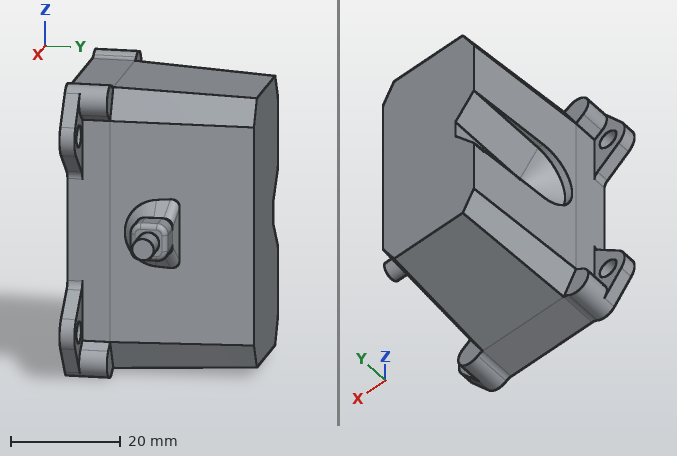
import cadquery as cq
import math

total_height = 55.0
total_depth = 34.45
flange_depth = 8.0
tab_depth = 2.8

base_half_width = 12.75
base_half_height = 26.5
base_top_half_width = 9.8
base_side_half_height = 20.85
end_half_width = 11.0
end_half_height = 25.4
end_top_half_width = 8.3
end_side_half_height = 20.55

hole_x = 16.0
hole_z = 18.5
hole_diameter = 4.0
tab_radius = 4.0
ear_radius = 2.95
ear_x = base_half_width
ear_z = total_height / 2 - ear_radius
blend_radius = 2.0

port_y = 16.5
pocket_width = 15.0
pocket_floor_width = 4.0
pocket_depth = 4.45

nut_start_x = 14.5
nut_end_x = 19.5
nut_width = 7.0
nut_corner_radius = 2.0
nut_end_fillet = 1.0
cable_end_x = 24.5
cable_diameter = 4.0
boss_start_x = 9.35
boss_side_slope = 1.2
boss_top_slope = 0.3
boss_corner_radius = 1.65


def polar(center, radius, angle):
    """Point on a circle, angle in radians from +X toward +Z."""
    return (center[0] + radius * math.cos(angle), center[1] + radius * math.sin(angle))


def add_arc(path, center, radius, start, end):
    """Continue a path along a circle; its end point is already at the start angle."""
    middle = polar(center, radius, (start + end) / 2)
    return path.threePointArc(middle, polar(center, radius, end))


def add_line_and_arc(path, center, radius, start, end):
    """Run a straight line to the start angle of a circle, then follow the circle."""
    return add_arc(path.lineTo(*polar(center, radius, start)), center, radius, start, end)


def direction(a, b):
    return math.atan2(b[1] - a[1], b[0] - a[0])


def section(y):
    """Sketch plane parallel to XZ at depth y, with local axes along +X and +Z."""
    return cq.Workplane(cq.Plane(origin=(0, y, 0), xDir=(1, 0, 0), normal=(0, -1, 0)))


def mirror_to_corners(quarter):
    half = quarter.union(quarter.mirror("YZ"))
    return half.union(half.mirror("XY"))


hole_center = (hole_x, hole_z)
ear_center = (ear_x, ear_z)

top_blend_z = base_half_height + blend_radius
top_blend_x = ear_x - math.sqrt((ear_radius + blend_radius) ** 2 - (top_blend_z - ear_z) ** 2)
top_blend_center = (top_blend_x, top_blend_z)
top_blend_angle = direction(ear_center, top_blend_center)

outer_edge_angle = direction(hole_center, ear_center) - math.acos(
    (tab_radius - ear_radius) / math.dist(hole_center, ear_center)
)

side_blend_z = 9.6
side_blend_center = (base_half_width + blend_radius, side_blend_z)
lower_edge_angle = direction(hole_center, side_blend_center) + math.acos(
    (tab_radius + blend_radius) / math.dist(hole_center, side_blend_center)
)


def outline_over_ear(ear_end_angle):
    """Quarter outline from the centre over the top blend and around the ear."""
    path = section(0).lineTo(0, base_half_height)
    path = add_line_and_arc(
        path, top_blend_center, blend_radius, -math.pi / 2, top_blend_angle - math.pi
    )
    return add_arc(path, ear_center, ear_radius, top_blend_angle, ear_end_angle)


def make_tab_plate():
    path = outline_over_ear(outer_edge_angle)
    path = add_line_and_arc(path, hole_center, tab_radius, outer_edge_angle, lower_edge_angle)
    path = add_line_and_arc(path, side_blend_center, blend_radius, lower_edge_angle + math.pi, math.pi)
    path = path.lineTo(base_half_width, 0).close()
    plate = path.extrude(-tab_depth)
    hole = section(0).center(*hole_center).circle(hole_diameter / 2).extrude(-tab_depth)
    return mirror_to_corners(plate.cut(hole))


def make_flange():
    """Full-depth flange: the housing section plus the four ears."""
    side_corner = (base_half_width, base_side_half_height)
    inner_edge_angle = direction(ear_center, side_corner) + math.acos(
        ear_radius / math.dist(ear_center, side_corner)
    )
    path = outline_over_ear(inner_edge_angle)
    path = path.lineTo(*side_corner).lineTo(base_half_width, 0).close()
    return mirror_to_corners(path.extrude(-flange_depth))


def octagon(half_width, half_height, top_half_width, side_half_height):
    corners = [(top_half_width, half_height), (half_width, side_half_height)]
    right = corners + [(x, -z) for x, z in reversed(corners)]
    return right + [(-x, z) for x, z in reversed(right)]


def make_housing():
    base = octagon(base_half_width, base_half_height, base_top_half_width, base_side_half_height)
    end = octagon(end_half_width, end_half_height, end_top_half_width, end_side_half_height)
    return (
        section(flange_depth).polyline(base).close()
        .workplane(offset=flange_depth - total_depth).polyline(end).close()
        .loft(ruled=True, combine=True)
    )


def make_pocket():
    """U-shaped pocket with tapered walls, open at the far end."""
    def u_slot(x, width):
        plane = cq.Plane(origin=(x, port_y, 0), xDir=(0, 1, 0), normal=(1, 0, 0))
        half = width / 2
        run = total_depth - port_y
        return (
            cq.Workplane(plane).moveTo(run, -half).lineTo(0, -half)
            .threePointArc((-half, 0), (0, half)).lineTo(run, half).close()
        )

    rim_x = -end_half_width
    floor_x = rim_x + pocket_depth
    mouth = u_slot(rim_x, pocket_width).extrude(end_half_width - base_half_width)
    rim = u_slot(rim_x, pocket_width).wires().val()
    floor = u_slot(floor_x, pocket_floor_width).wires().val()
    taper = cq.Workplane(cq.Solid.makeLoft([rim, floor], True))
    return mouth.union(taper)


def make_boss():
    """Tapered foot of the cable outlet: round below, squared off above."""
    def outline(x):
        growth = nut_start_x - x
        half = nut_width / 2 + boss_side_slope * growth
        top = nut_width / 2 + boss_top_slope * growth
        r = boss_corner_radius
        plane = cq.Plane(origin=(x, port_y, 0), xDir=(0, 1, 0), normal=(1, 0, 0))
        path = cq.Workplane(plane).moveTo(0, half).threePointArc((-half, 0), (0, -half))
        path = add_line_and_arc(path, (top - r, r - half), r, -math.pi / 2, 0)
        path = add_line_and_arc(path, (top - r, half - r), r, 0, math.pi / 2)
        return path.close().wires().val()

    return cq.Workplane(cq.Solid.makeLoft([outline(boss_start_x), outline(nut_start_x)], True))


def make_cable_outlet():
    plane = cq.Plane(origin=(nut_start_x, port_y, 0), xDir=(0, 1, 0), normal=(1, 0, 0))
    nut = (
        cq.Workplane(plane).rect(nut_width, nut_width).extrude(nut_end_x - nut_start_x)
        .edges("|X").fillet(nut_corner_radius).faces(">X").edges().fillet(nut_end_fillet)
    )
    cable = cq.Workplane(plane).circle(cable_diameter / 2).extrude(cable_end_x - nut_start_x)
    return make_boss().union(nut).union(cable)


body = make_tab_plate().union(make_flange()).union(make_housing())
result = body.cut(make_pocket()).union(make_cable_outlet())